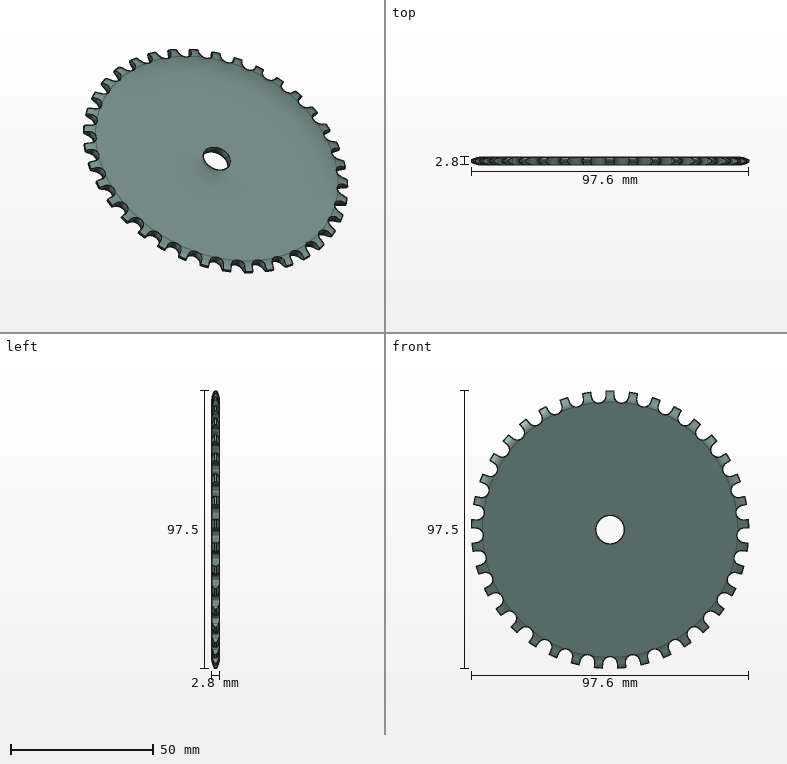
import cadquery as cq
import math

tooth_count = 37
pitch = 8.0
tip_radius = 48.8
thickness = 2.8
bore_diameter = 10.0
seat_radius = 2.5
flank_angle = 5.5
face_radius = 44.9
crown_radius = 8.0

half_thickness = thickness / 2
pitch_radius = pitch / 2 / math.sin(math.pi / tooth_count)
tooth_angle = 360 / tooth_count


def crown_point(radius):
    """Point (radius, y) on the rounded side of a tooth, on the +Y side."""
    rise = radius - face_radius
    drop = crown_radius - math.sqrt(crown_radius**2 - rise**2)
    return radius, half_thickness - drop


def mirrored(point):
    return point[0], -point[1]


def make_blank():
    """Disc with rounded rim sides, revolved about the Y axis."""
    face_edge = (face_radius, half_thickness)
    crown_middle = crown_point((face_radius + tip_radius) / 2)
    crown_end = crown_point(tip_radius)
    return (
        cq.Workplane("XY")
        .moveTo(0, half_thickness)
        .lineTo(*face_edge)
        .threePointArc(crown_middle, crown_end)
        .lineTo(*mirrored(crown_end))
        .threePointArc(mirrored(crown_middle), mirrored(face_edge))
        .lineTo(0, -half_thickness)
        .close()
        .revolve(360, (0, 0, 0), (0, 1, 0))
    )


def make_gap():
    """Cutter for one tooth gap, centred on +Z: a round seat with two flaring flanks."""
    lean = math.radians(flank_angle)
    seat_edge_x = seat_radius * math.cos(lean)
    seat_edge_z = pitch_radius - seat_radius * math.sin(lean)
    cutter_top = tip_radius + seat_radius
    mouth_x = seat_edge_x + (cutter_top - seat_edge_z) * math.tan(lean)
    return (
        cq.Workplane("XZ")
        .moveTo(-mouth_x, cutter_top)
        .lineTo(-seat_edge_x, seat_edge_z)
        .threePointArc((0, pitch_radius - seat_radius), (seat_edge_x, seat_edge_z))
        .lineTo(mouth_x, cutter_top)
        .close()
        .extrude(thickness, both=True)
    )


def cut_gaps(blank):
    """Cut all gaps so that one tooth points straight up along +Z."""
    gap = make_gap().val()
    gaps = []
    for index in range(tooth_count):
        turn = (index + 0.5) * tooth_angle
        gaps.append(gap.rotate(cq.Vector(0, 0, 0), cq.Vector(0, 1, 0), turn))
    return blank.cut(cq.Workplane(obj=cq.Compound.makeCompound(gaps)))


def make_bore():
    return cq.Workplane("XZ").circle(bore_diameter / 2).extrude(thickness, both=True)


result = cut_gaps(make_blank()).cut(make_bore())